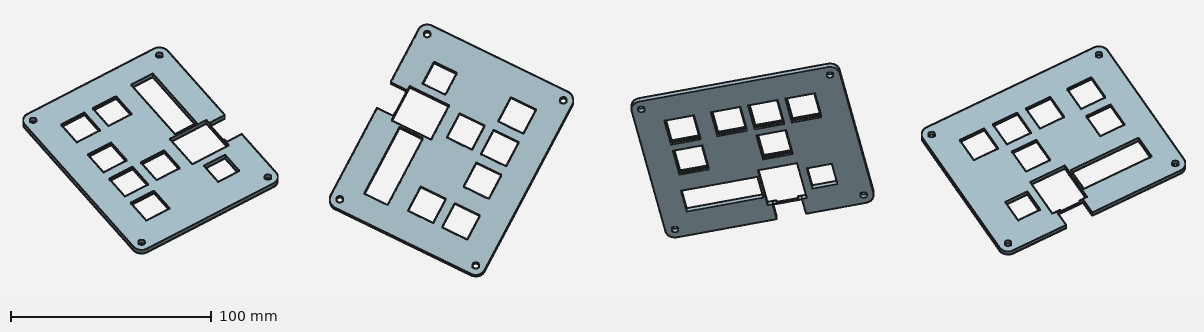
import cadquery as cq

LENGTH = 106.4
WIDTH = 86.0
THICKNESS = 3.0
CORNER_RADIUS = 5.0

SCREW_DIAMETER = 3.4

KEY_SIZE = 14.0
KEY_PITCH = 19.0
KEY_LIP = 1.5
KEY_UNDERCUT = 0.5
LEFT_KEY_X = -31.1
MIDDLE_KEY_X = 11.7
UPPER_KEY_Y = -2.0
LOWER_KEY_Y = UPPER_KEY_Y - KEY_PITCH
LOWER_LEFT_INNER_KEY_X = MIDDLE_KEY_X - KEY_PITCH
LOWER_RIGHT_KEY_X = MIDDLE_KEY_X + KEY_PITCH
KEY_CENTRES = [
    (LEFT_KEY_X, UPPER_KEY_Y),
    (MIDDLE_KEY_X, UPPER_KEY_Y),
    (LEFT_KEY_X, LOWER_KEY_Y),
    (LOWER_LEFT_INNER_KEY_X, LOWER_KEY_Y),
    (MIDDLE_KEY_X, LOWER_KEY_Y),
    (LOWER_RIGHT_KEY_X, LOWER_KEY_Y),
]

WINDOW_TOP_Y = 28.5
DISPLAY_LENGTH = 39.0
DISPLAY_WIDTH = 13.1
DISPLAY_X = -20.5
SQUARE_SIZE = 12.8
SQUARE_X = 30.5

MODULE_X = 10.1
MODULE_LENGTH = 20.0
MODULE_WIDTH = 22.0
NOTCH_LENGTH = 15.0
NOTCH_DEPTH = 9.1
BRIDGE_WIDTH = 0.3
BRIDGE_HEIGHT = 1.5
BRIDGE_END_LENGTH = 2.0
NOTCH_FLOOR_Y = WIDTH / 2 - NOTCH_DEPTH
MODULE_TOP_Y = NOTCH_FLOOR_Y - BRIDGE_WIDTH


def block(length, width, x, top_y, bottom_z=0.0, top_z=THICKNESS):
    """Box centred on x, reaching down in Y from top_y, between two heights."""
    base = cq.Workplane("XY", origin=(x, top_y - width / 2, bottom_z))
    return base.rect(length, width).extrude(top_z - bottom_z)


def key_opening(x, y):
    """Square through opening with a recess under all four edges."""
    opening = block(KEY_SIZE, KEY_SIZE, x, y + KEY_SIZE / 2)
    recess_size = KEY_SIZE + 2 * KEY_UNDERCUT
    recess = block(recess_size, recess_size, x, y + recess_size / 2, top_z=THICKNESS - KEY_LIP)
    return opening.union(recess)


plate = cq.Workplane("XY").box(LENGTH, WIDTH, THICKNESS, centered=(True, True, False))
plate = plate.edges("|Z").fillet(CORNER_RADIUS)

screw_span_x = LENGTH - 2 * CORNER_RADIUS
screw_span_y = WIDTH - 2 * CORNER_RADIUS
screw_corners = cq.Workplane("XY").rect(screw_span_x, screw_span_y, forConstruction=True).vertices()
plate = plate.cut(screw_corners.circle(SCREW_DIAMETER / 2).extrude(THICKNESS))

for key_x, key_y in KEY_CENTRES:
    plate = plate.cut(key_opening(key_x, key_y))

plate = plate.cut(block(DISPLAY_LENGTH, DISPLAY_WIDTH, DISPLAY_X, WINDOW_TOP_Y))
plate = plate.cut(block(SQUARE_SIZE, SQUARE_SIZE, SQUARE_X, WINDOW_TOP_Y))
plate = plate.cut(block(MODULE_LENGTH, MODULE_WIDTH, MODULE_X, MODULE_TOP_Y))
plate = plate.cut(block(NOTCH_LENGTH, NOTCH_DEPTH, MODULE_X, WIDTH / 2))

low_span = NOTCH_LENGTH - 2 * BRIDGE_END_LENGTH
plate = plate.cut(block(low_span, BRIDGE_WIDTH, MODULE_X, NOTCH_FLOOR_Y, bottom_z=BRIDGE_HEIGHT))

result = plate